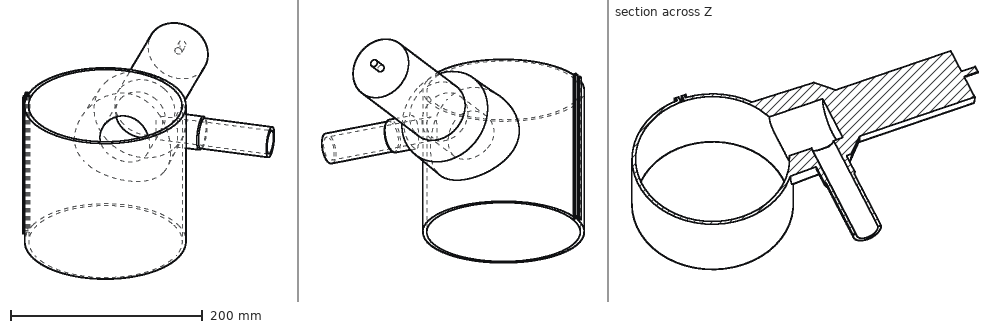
import cadquery as cq

height = 160.0
sleeve_radius = 84.3
bore_radius = 80.0

socket_base_radius = 52.0
taper_start = 64.0
socket_radius = 50.0
socket_end = 135.5
pipe_start = 153.0
pipe_radius = 32.5
pipe_end = 283.0
rod_radius = 4.0
rod_end = 383.0 - sleeve_radius

port_radius = 27.0
port_end = socket_end

side_y = 113.0
collar_radius = 17.5
collar_end = 74.0
collar_chamfer = 1.5
side_pipe_radius = 16.0
side_bore_radius = 12.3
side_pipe_end = 147.0

rail_face = -87.7
lip_thickness = 2.0
lip_outer_y = 6.5
neck_outer_y = 5.0
slot_half_width = 1.5
slot_floor = -82.0


def cylinder_x(radius, end):
    return cq.Workplane("YZ", origin=(0, side_y, 0)).circle(radius).extrude(end)


def cylinder_z(radius):
    return cq.Workplane("XY", origin=(0, 0, -height / 2)).circle(radius).extrude(height)


def revolve_y(profile):
    """Revolve a closed half profile of (radius, y) points about Y."""
    return cq.Workplane("XY").polyline(profile).close().revolve(360, (0, 0, 0), (0, 1, 0))


def make_main_branch():
    """Tapered socket, conical shoulder, pipe and end rod, revolved about Y."""
    profile = [
        (0, 0),
        (socket_base_radius, 0),
        (socket_base_radius, taper_start),
        (socket_radius, socket_end),
        (pipe_radius, pipe_start),
        (pipe_radius, pipe_end),
        (rod_radius, pipe_end),
        (rod_radius, rod_end),
        (0, rod_end),
    ]
    return revolve_y(profile)


def make_side_branch():
    collar = cylinder_x(collar_radius, collar_end).faces(">X").chamfer(collar_chamfer)
    return collar.union(cylinder_x(side_pipe_radius, side_pipe_end))


def make_rail(side):
    """Hooked rail; side is +1 or -1 for its place along Y."""
    lip_back = rail_face + lip_thickness
    profile = [
        (rail_face, 0),
        (rail_face, side * lip_outer_y),
        (lip_back, side * lip_outer_y),
        (lip_back, side * neck_outer_y),
        (slot_floor, side * neck_outer_y),
        (slot_floor, 0),
    ]
    return cq.Workplane("XY", origin=(0, 0, -height / 2)).polyline(profile).close().extrude(height)


def make_port():
    """Blind port along Y joined by the open bore of the side branch."""
    main_port = revolve_y([(0, 0), (port_radius, 0), (port_radius, port_end), (0, port_end)])
    return main_port.union(cylinder_x(side_bore_radius, side_pipe_end))


def make_slot():
    """Groove between the two rails, reaching part way into the sleeve wall."""
    depth = slot_floor - rail_face
    groove = cq.Workplane("XY").box(depth, 2 * slot_half_width, height)
    return groove.translate(((slot_floor + rail_face) / 2, 0, 0))


result = cylinder_z(sleeve_radius).union(make_main_branch()).union(make_side_branch())
for side in (1, -1):
    result = result.union(make_rail(side))
result = result.cut(cylinder_z(bore_radius)).cut(make_slot()).cut(make_port())